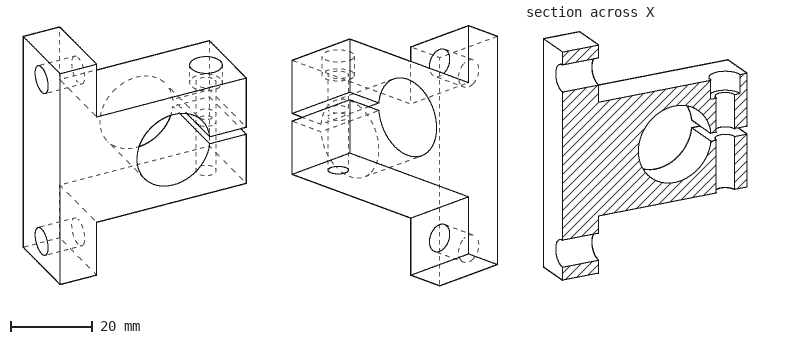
import cadquery as cq

width = 20.0
height = 60.0
length = 51.0

flange_thickness = 10.0
arm_height = 30.0

bore_diameter = 20.0
bore_to_clamp_end = 20.0
slit_width = 2.0

mount_hole_diameter = 7.0
mount_hole_spacing = 46.0

screw_diameter = 5.0
screw_head_diameter = 8.0
screw_head_depth = 5.0
screw_to_clamp_end = 6.0

bore_y = length - bore_to_clamp_end
screw_y = length - screw_to_clamp_end
arm_top = arm_height / 2


def centered_box(y_start, y_end, z_size):
    """Full-width box between two Y positions, centered on X and Z."""
    box = cq.Workplane("XY").box(width, y_end - y_start, z_size, centered=(True, False, True))
    return box.translate((0, y_start, 0))


def vertical_cylinder(diameter, z_top, depth):
    """Cylinder on the screw axis, reaching down from z_top."""
    plane = cq.Workplane("XY", origin=(0, screw_y, z_top))
    return plane.circle(diameter / 2).extrude(-depth)


flange = centered_box(0, flange_thickness, height)
arm = centered_box(0, length, arm_height)
body = flange.union(arm)

bore = (
    cq.Workplane("YZ", origin=(0, bore_y, 0))
    .circle(bore_diameter / 2)
    .extrude(width / 2, both=True)
)
slit = centered_box(bore_y, length, slit_width)

mount_holes = (
    cq.Workplane("XZ")
    .pushPoints([(0, -mount_hole_spacing / 2), (0, mount_hole_spacing / 2)])
    .circle(mount_hole_diameter / 2)
    .extrude(-flange_thickness)
)

screw_hole = vertical_cylinder(screw_diameter, arm_top, arm_height)
screw_head = vertical_cylinder(screw_head_diameter, arm_top, screw_head_depth)

result = body.cut(bore).cut(slit).cut(mount_holes).cut(screw_hole).cut(screw_head)